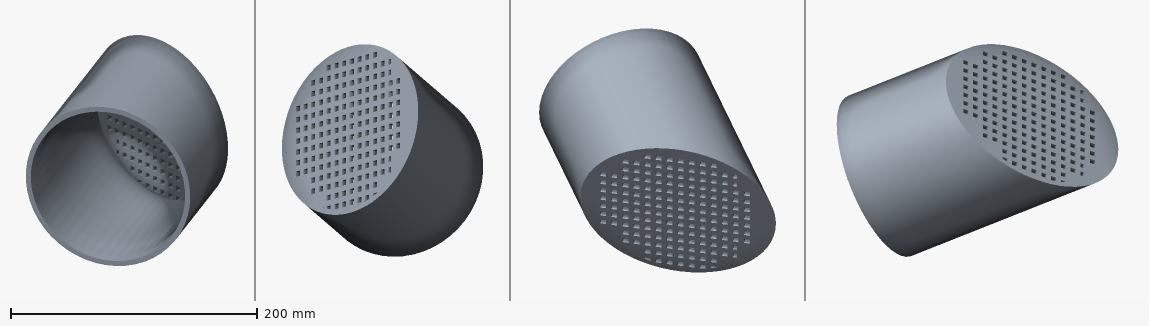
import cadquery as cq
import math

OUTER_DIAMETER = 140.0
INNER_DIAMETER = 131.5
LENGTH = 183.3
SLOPE_ANGLE = math.radians(30)

PLATE_THICKNESS = 4.4

COLUMN_COUNT = 14
ROW_COUNT = 14
COLUMN_SPAN = 118.8
ROW_SPAN = 118.5
GRID_CENTRE_HEIGHT = -2.2
SLOT_WIDTH = 4.8
SLOT_HEIGHT = 4.4
NARROW_SLOT_WIDTH = 3.3

SHORT_ROW_COLUMNS = (3, 9)
MEDIUM_ROW_COLUMNS = (1, 11)
LONG_ROW_COLUMNS = (0, 13)
MEDIUM_ROWS = (1, 2, 10, 11)
LONG_ROWS = range(3, 10)

column_pitch = COLUMN_SPAN / (COLUMN_COUNT - 1)
row_pitch = ROW_SPAN / (ROW_COUNT - 1)
axis_length = LENGTH - OUTER_DIAMETER / 2 * math.tan(SLOPE_ANGLE)


def sloped_plane(depth):
    """Plane parallel to the sloped end, `depth` below it; local Y is up and the normal points into the tube."""
    return cq.Plane(
        origin=(0, axis_length - depth / math.cos(SLOPE_ANGLE), 0),
        xDir=(math.cos(SLOPE_ANGLE), -math.sin(SLOPE_ANGLE), 0),
        normal=(-math.sin(SLOPE_ANGLE), -math.cos(SLOPE_ANGLE), 0),
    )


def cylinder_along_y(diameter):
    return cq.Workplane("XZ").circle(diameter / 2).extrude(-LENGTH)


def slab(depth):
    """Wide slab reaching from the sloped end to `depth` below it."""
    return cq.Workplane(sloped_plane(0)).rect(2 * LENGTH, 2 * LENGTH).extrude(depth)


def make_tube():
    pipe = cylinder_along_y(OUTER_DIAMETER).cut(cylinder_along_y(INNER_DIAMETER))
    return pipe.intersect(slab(2 * LENGTH))


def row_columns(row):
    if row in LONG_ROWS:
        return LONG_ROW_COLUMNS
    if row in MEDIUM_ROWS:
        return MEDIUM_ROW_COLUMNS
    return SHORT_ROW_COLUMNS


def make_slots():
    """Square-cornered slot cutters; the slot nearest -X in a medium row is narrow, cut back on its -X side."""
    slots = []
    for row in range(ROW_COUNT):
        y = GRID_CENTRE_HEIGHT + ROW_SPAN / 2 - row * row_pitch
        first, last = row_columns(row)
        for column in range(first, last + 1):
            is_narrow = row in MEDIUM_ROWS and column == first
            width = NARROW_SLOT_WIDTH if is_narrow else SLOT_WIDTH
            x = column * column_pitch - COLUMN_SPAN / 2 + (SLOT_WIDTH - width) / 2
            cutter = (
                cq.Workplane(sloped_plane(PLATE_THICKNESS))
                .center(x, y)
                .rect(width, SLOT_HEIGHT)
                .extrude(-PLATE_THICKNESS)
            )
            slots.append(cutter.val())
    return cq.Compound.makeCompound(slots)


def make_grate():
    plate = cylinder_along_y(INNER_DIAMETER).intersect(slab(PLATE_THICKNESS))
    return plate.cut(cq.Workplane(make_slots()))


tube = make_tube()
grate = make_grate()

result = cq.Compound.makeCompound([tube.val(), grate.val()])